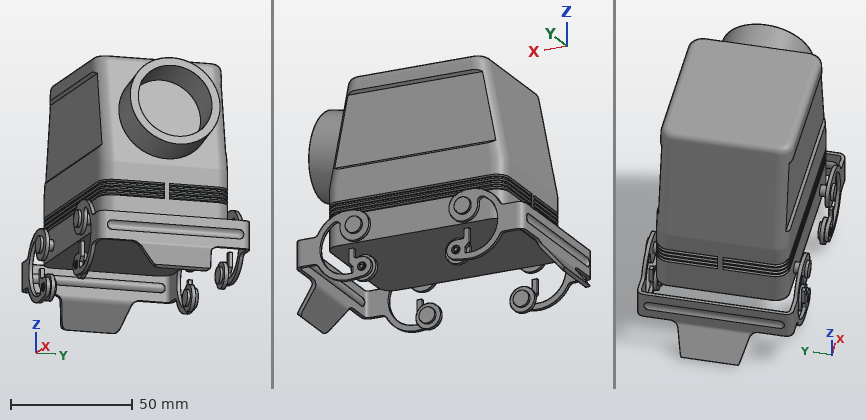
import cadquery as cq
import math

hood_length = 82.0
hood_width = 56.2
hood_height = 74.5
shoulder_z = 27.4
taper_angle = 11.0
corner_radius = 6.0
top_radius = 3.0
shoulder_radius = 5.0

pick_margin = 1.0

recess_depth = 1.15
recess_bottom_z = 35.1
recess_top_z = 67.6

groove_count = 4
groove_pitch = 1.8
groove_width = 1.2
groove_depth = 0.6
lowest_groove_z = 13.6
groove_gap = 2.3

tube_diameter = 39.0
bore_diameter = 32.0
tube_length = 15.4
tube_base_z = 49.2
tube_embed = 6.0

sheet = 1.6
lever_reach = 52.5
lever_width = 66.0
strap_height = 11.9
strap_bend_radius = 3.2
strap_fillet = 2.5

pin_x = 25.0
pin_z = 5.7
pin_diameter = 4.8
pin_head_diameter = 7.3
pin_span = 68.5
pin_embed = 2.0

eye_radius = 6.6
ring_outer_radius = 15.4
ring_inner_radius = 12.75
notch_radius = 2.0
eye_rise = 8.25

roller_x = -21.6
roller_z = -13.05
hook_radius = 4.25
finger_left_x = -27.6
finger_right_x = -25.3
finger_top_z = -4.35
finger_slant_top_z = -10.7
finger_slant_end_x = -25.7
finger_slant_end_z = -12.65
finger_fillet = 1.2
heel_radius = 0.6

roller_radius = 5.65
roller_thickness = 1.7
hub_radius = 3.6
hub_thickness = 1.2
rivet_radius = 1.85
rivet_height = 0.45
rivet_hole_radius = 0.9
rivet_chamfer = 0.3

bead_length = 59.3
bead_width = 4.0
bead_depth = 0.95

grip_reach = 122.79 / 2
grip_bottom_z = -21.15
grip_droop = 50.0
grip_bend_radius = 2.0
grip_root_half_width = 15.9
grip_tip_half_width = 12.0
grip_corner_radius = 3.0
grip_flare_radius = 4.0
grip_flare_half_width = 22.0

taper_slope = math.tan(math.radians(taper_angle))
eye_offset = ring_outer_radius - eye_radius
ring_x = -pin_x - math.sqrt(eye_offset ** 2 - eye_rise ** 2)
ring_z = pin_z - eye_rise
strap_bottom_z = ring_z - strap_height / 2
strap_top_z = ring_z + strap_height / 2
arm_inner_y = lever_width / 2 - sheet


def polar(center, radius, angle):
    """Point at a given radius and angle (degrees) from a centre."""
    turn = math.radians(angle)
    return (center[0] + radius * math.cos(turn), center[1] + radius * math.sin(turn))


def heading(start, end):
    """Direction from one point to another, in degrees."""
    return math.degrees(math.atan2(end[1] - start[1], end[0] - start[0]))


def add_arc(path, center, radius, start_angle, end_angle):
    """Continue a path along an arc; the path must be at the start of the arc."""
    middle = polar(center, radius, (start_angle + end_angle) / 2)
    return path.threePointArc(middle, polar(center, radius, end_angle))


def disc(x, z, radius, near_y, far_y):
    """Cylinder along Y on the -Y side, between two distances from the centre plane."""
    plane = cq.Workplane("XZ", origin=(x, -near_y, z))
    return plane.circle(radius).extrude(far_y - near_y)


def make_hood_blank():
    half = hood_length / 2
    top_half = half - (hood_height - shoulder_z) * taper_slope
    outline = [
        (-half, 0),
        (half, 0),
        (half, shoulder_z),
        (top_half, hood_height),
        (-top_half, hood_height),
        (-half, shoulder_z),
    ]
    blank = cq.Workplane("XZ").polyline(outline).close().extrude(hood_width / 2, both=True)
    shoulder_edges = cq.selectors.BoxSelector(
        (-hood_length, -hood_width, shoulder_z - pick_margin),
        (hood_length, hood_width, shoulder_z + pick_margin),
    )
    blank = blank.edges(shoulder_edges).edges("|Y").fillet(shoulder_radius)
    blank = blank.faces("<Y or >Y").edges("not(<Z or >Z)").fillet(corner_radius)
    return blank.faces(">Z").edges().fillet(top_radius)


def make_side_recess():
    """Cutter for the -Y side, with ends sloping at 45 degrees."""
    outer_y = -hood_width / 2
    floor_y = outer_y + recess_depth
    outline = [
        (outer_y, recess_bottom_z - recess_depth),
        (floor_y, recess_bottom_z),
        (floor_y, recess_top_z - recess_depth),
        (outer_y, recess_top_z),
    ]
    return cq.Workplane("YZ").polyline(outline).close().extrude(hood_length / 2, both=True)


def make_groove_cutter(z):
    """V-shaped ring around the hood, interrupted at the middle of both ends."""
    half = groove_width / 2
    flank_angle = math.degrees(math.atan(groove_depth / half))
    ring = cq.Workplane("XY", origin=(0, 0, z - half))
    ring = ring.rect(hood_length + corner_radius, hood_width + corner_radius).extrude(groove_width)
    section = cq.Sketch().rect(hood_length, hood_width).vertices().fillet(corner_radius)
    lower = cq.Workplane("XY", origin=(0, 0, z - half)).placeSketch(section).extrude(half, taper=flank_angle)
    ring = ring.cut(lower).cut(lower.mirror("XY", (0, 0, z)))
    bridge = cq.Workplane("XY").box(2 * hood_length, groove_gap, 2 * hood_height)
    return ring.cut(bridge)


def make_hood():
    hood = make_hood_blank()
    recess = make_side_recess()
    hood = hood.cut(recess).cut(recess.mirror("XZ"))
    for index in range(groove_count):
        hood = hood.cut(make_groove_cutter(lowest_groove_z + index * groove_pitch))
    return hood


def add_cable_entry(hood):
    wall_x = hood_length / 2 - (tube_base_z - shoulder_z) * taper_slope
    tilt = math.radians(taper_angle)
    axis = cq.Vector(math.cos(tilt), 0, math.sin(tilt))
    base = cq.Vector(wall_x, 0, tube_base_z)
    tube = cq.Solid.makeCylinder(
        tube_diameter / 2, tube_length + tube_embed, base - axis * tube_embed, axis
    )
    bore = cq.Solid.makeCylinder(bore_diameter / 2, tube_length, base, axis)
    return hood.union(cq.Workplane(tube)).cut(cq.Workplane(bore))


def make_arm():
    """Flat curved arm on the -Y side of the -X lever."""
    ring = (ring_x, ring_z)
    eye = (-pin_x, pin_z)
    hook = (roller_x, roller_z)
    eye_angle = heading(ring, eye)

    blend_reach = ring_outer_radius + strap_fillet
    blend_angle = math.degrees(math.asin((strap_height / 2 + strap_fillet) / blend_reach))
    upper_blend = polar(ring, blend_reach, 180 - blend_angle)
    lower_blend = polar(ring, blend_reach, 180 + blend_angle)
    strap_end_x = strap_bend_radius - lever_reach

    hook_distance = math.dist(ring, hook)
    spread = math.degrees(math.acos((ring_outer_radius - hook_radius) / hook_distance))
    tangent_angle = heading(ring, hook) - spread

    notch_reach = ring_inner_radius - notch_radius
    notch_to_eye = eye_radius + notch_radius
    cosine = (notch_reach ** 2 + eye_offset ** 2 - notch_to_eye ** 2) / (2 * notch_reach * eye_offset)
    notch_angle = eye_angle + math.degrees(math.acos(cosine))
    notch = polar(ring, notch_reach, notch_angle)
    eye_start = heading(eye, notch) % 360

    path = cq.Workplane("XZ", origin=(0, -arm_inner_y, 0))
    path = path.moveTo(*polar(ring, ring_outer_radius, eye_angle))
    path = add_arc(path, ring, ring_outer_radius, eye_angle, 180 - blend_angle)
    path = add_arc(path, upper_blend, strap_fillet, -blend_angle, -90)
    path = path.lineTo(strap_end_x, strap_top_z)
    path = path.lineTo(strap_end_x, strap_bottom_z)
    path = path.lineTo(lower_blend[0], strap_bottom_z)
    path = add_arc(path, lower_blend, strap_fillet, 90, blend_angle)
    path = add_arc(path, ring, ring_outer_radius, 180 + blend_angle, 360 + tangent_angle)
    path = path.lineTo(*polar(hook, hook_radius, tangent_angle))
    path = add_arc(path, hook, hook_radius, tangent_angle, 90)

    inside_z = ring_z - ring_inner_radius
    finger_fillet_center = (finger_right_x + finger_fillet, roller_z + hook_radius + finger_fillet)
    heel_center = (finger_slant_end_x - heel_radius, inside_z + heel_radius)
    path = path.lineTo(finger_fillet_center[0], roller_z + hook_radius)
    path = add_arc(path, finger_fillet_center, finger_fillet, 270, 180)
    path = path.lineTo(finger_right_x, finger_top_z)
    path = path.lineTo(finger_left_x, finger_top_z)
    path = path.lineTo(finger_left_x, finger_slant_top_z)
    path = path.lineTo(finger_slant_end_x, finger_slant_end_z)
    path = path.lineTo(finger_slant_end_x, heel_center[1])
    path = add_arc(path, heel_center, heel_radius, 0, -90)
    path = path.lineTo(ring_x, inside_z)

    path = add_arc(path, ring, ring_inner_radius, 270, notch_angle)
    path = add_arc(path, notch, notch_radius, notch_angle, eye_start - 180)
    path = add_arc(path, eye, eye_radius, eye_start, 360 + eye_angle)
    return path.close().extrude(sheet)


def make_bent_block(wall_x, half_width, bend_radius):
    """Block from the strap's end wall to its arm ends, rounded at the end wall."""
    arm_end_x = ring_x - (ring_inner_radius + ring_outer_radius) / 2
    block = cq.Workplane("XY", origin=(0, 0, strap_bottom_z))
    block = block.moveTo(wall_x, -half_width).lineTo(arm_end_x, -half_width)
    block = block.lineTo(arm_end_x, half_width).lineTo(wall_x, half_width).close()
    return block.extrude(strap_height).edges("|Z and <X").fillet(bend_radius)


def make_bead(center_x, radius):
    """Round-ended bar along Y, centred on the mid-height of the strap."""
    straight = bead_length - bead_width
    start = cq.Vector(center_x, -straight / 2, ring_z)
    bar = cq.Workplane(cq.Solid.makeCylinder(radius, straight, start, cq.Vector(0, 1, 0)))
    for end_y in (-straight / 2, straight / 2):
        bar = bar.union(cq.Workplane("XY", origin=(center_x, end_y, ring_z)).sphere(radius))
    return bar


def make_strap():
    wall_x = -lever_reach
    outer = make_bent_block(wall_x, lever_width / 2, strap_bend_radius)
    inner = make_bent_block(wall_x + sheet, arm_inner_y, strap_bend_radius - sheet)
    strap = outer.cut(inner)

    radius = (bead_depth ** 2 + (bead_width / 2) ** 2) / (2 * bead_depth)
    groove_x = wall_x + bead_depth - radius
    ridge = make_bead(groove_x + sheet, radius).intersect(inner)
    return strap.union(ridge).cut(make_bead(groove_x, radius))


def round_bend(tongue, x, z, radius):
    """Fillet the edge along Y that passes through the given X and Z."""
    edge = cq.selectors.NearestToPointSelector((x, 0, z))
    return tongue.edges("|Y").edges(edge).fillet(radius)


def make_grip():
    """Sheet tongue bent outwards under the strap, narrowing to a rounded tip."""
    droop = math.radians(grip_droop)
    outer_x = -lever_reach
    inner_x = outer_x + sheet
    tip_upper = (-grip_reach, grip_bottom_z + sheet * math.cos(droop))
    tip_lower = (-grip_reach + sheet * math.sin(droop), grip_bottom_z)
    bend_upper_z = tip_upper[1] + (outer_x - tip_upper[0]) * math.tan(droop)
    bend_lower_z = tip_lower[1] + (inner_x - tip_lower[0]) * math.tan(droop)
    root_z = strap_bottom_z + sheet
    profile = [
        (outer_x, root_z),
        (inner_x, root_z),
        (inner_x, bend_lower_z),
        tip_lower,
        tip_upper,
        (outer_x, bend_upper_z),
    ]
    tongue = cq.Workplane("XZ").polyline(profile).close().extrude(lever_width / 2, both=True)
    tongue = round_bend(tongue, outer_x, bend_upper_z, grip_bend_radius)
    tongue = round_bend(tongue, inner_x, bend_lower_z, grip_bend_radius + sheet)

    outline = [
        (-grip_flare_half_width, root_z),
        (grip_flare_half_width, root_z),
        (grip_flare_half_width, strap_bottom_z),
        (grip_root_half_width, strap_bottom_z),
        (grip_tip_half_width, grip_bottom_z),
        (-grip_tip_half_width, grip_bottom_z),
        (-grip_root_half_width, strap_bottom_z),
        (-grip_flare_half_width, strap_bottom_z),
    ]
    span = cq.Workplane("YZ", origin=(-lever_reach, 0, 0)).polyline(outline).close()
    span = span.extrude(lever_reach / 2, both=True)
    span = span.edges("|X and <Z").fillet(grip_corner_radius)
    root_corners = cq.selectors.BoxSelector(
        (-2 * lever_reach, -grip_root_half_width - pick_margin, strap_bottom_z - pick_margin),
        (0, grip_root_half_width + pick_margin, strap_bottom_z + pick_margin),
    )
    span = span.edges(root_corners).edges("|X").fillet(grip_flare_radius)
    return tongue.intersect(span)


def make_side_hardware():
    """Arm, roller, rivet and pivot pin on the -Y side of the -X lever."""
    outer_y = lever_width / 2
    roller_inner_y = arm_inner_y - roller_thickness
    pin_end_y = pin_span / 2
    roller = disc(roller_x, roller_z, roller_radius, roller_inner_y, arm_inner_y)
    hub = disc(roller_x, roller_z, hub_radius, roller_inner_y - hub_thickness, roller_inner_y)
    rivet = disc(roller_x, roller_z, rivet_radius, outer_y, outer_y + rivet_height)
    rivet = rivet.faces("<Y").edges().chamfer(rivet_chamfer)
    rivet_hole = disc(roller_x, roller_z, rivet_hole_radius, outer_y, outer_y + rivet_height)
    pin = disc(-pin_x, pin_z, pin_diameter / 2, hood_width / 2 - pin_embed, pin_end_y)
    pin_head = disc(-pin_x, pin_z, pin_head_diameter / 2, outer_y, pin_end_y)

    hardware = make_arm()
    for piece in (roller, hub, rivet.cut(rivet_hole), pin, pin_head):
        hardware = hardware.union(piece)
    return hardware


def make_lever():
    side = make_side_hardware()
    lever = make_strap().union(make_grip())
    return lever.union(side).union(side.mirror("XZ"))


hood = add_cable_entry(make_hood())
lever = make_lever()
result = hood.union(lever).union(lever.mirror("YZ"))